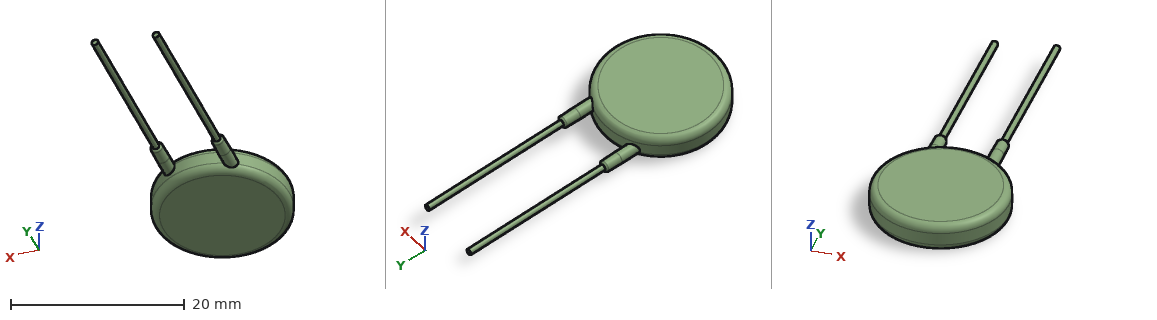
import cadquery as cq

disc_diameter = 16.5
disc_thickness = 3.6
disc_edge_radius = 1.0

overall_length = 40.0
lead_diameter = 0.8
lead_spacing = 7.5
lead_height_offset = 0.5

sleeve_diameter = 1.55
sleeve_tip_diameter = 1.5
sleeve_taper_start = 9.5
sleeve_end = 11.7
sleeve_tip_radius = 0.25

lead_end = overall_length - disc_diameter / 2
root_y = disc_diameter / 4


def make_disc():
    disc = cq.Workplane("XY").circle(disc_diameter / 2).extrude(disc_thickness / 2, both=True)
    return disc.edges("%CIRCLE").fillet(disc_edge_radius)


def make_lead(x, z):
    """Sleeve and wire as one revolved profile, running along +Y at (x, z)."""
    tip_radius = sleeve_tip_diameter / 2
    profile = (
        cq.Workplane("XY")
        .moveTo(0, root_y)
        .lineTo(sleeve_diameter / 2, root_y)
        .lineTo(sleeve_diameter / 2, sleeve_taper_start)
        .lineTo(tip_radius, sleeve_end - sleeve_tip_radius)
        .radiusArc((tip_radius - sleeve_tip_radius, sleeve_end), -sleeve_tip_radius)
        .lineTo(lead_diameter / 2, sleeve_end)
        .lineTo(lead_diameter / 2, lead_end)
        .lineTo(0, lead_end)
        .close()
    )
    return profile.revolve(360, (0, 0), (0, 1)).translate((x, 0, z))


result = make_disc()
for side in (-1, 1):
    result = result.union(make_lead(side * lead_spacing / 2, side * lead_height_offset))